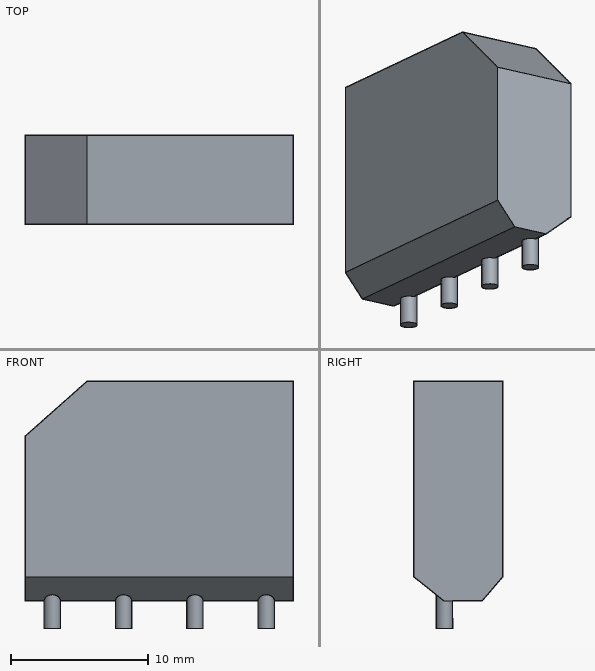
import cadquery as cq

length = 19.5
depth = 6.5
total_height = 18.0

pin_protrusion = 2.0
body_height = total_height - pin_protrusion
corner_cut_length = 4.5
corner_cut_height = 4.0
bevel_height = 1.75
front_bevel_depth = 2.2
back_bevel_depth = 1.5

pin_diameter = 1.2
pin_count = 4
pin_pitch = 5.19
pin_from_front = 2.25
pin_embed = 1.17


def make_body():
    """Block with both lower long edges bevelled and one upper corner cut off."""
    profile = [
        (0, bevel_height),
        (front_bevel_depth, 0),
        (depth - back_bevel_depth, 0),
        (depth, bevel_height),
        (depth, body_height),
        (0, body_height),
    ]
    block = cq.Workplane("YZ").polyline(profile).close().extrude(length)
    corner = [
        (0, body_height),
        (corner_cut_length, body_height),
        (0, body_height - corner_cut_height),
    ]
    cutter = cq.Workplane("XZ").polyline(corner).close().extrude(-depth)
    return block.cut(cutter)


def make_pins():
    """Row of round leads, centred along the length of the body."""
    first_pin = (length - (pin_count - 1) * pin_pitch) / 2
    centers = [(first_pin + i * pin_pitch, pin_from_front) for i in range(pin_count)]
    return (
        cq.Workplane("XY", origin=(0, 0, -pin_protrusion))
        .pushPoints(centers)
        .circle(pin_diameter / 2)
        .extrude(pin_protrusion + pin_embed)
    )


result = make_body().union(make_pins())